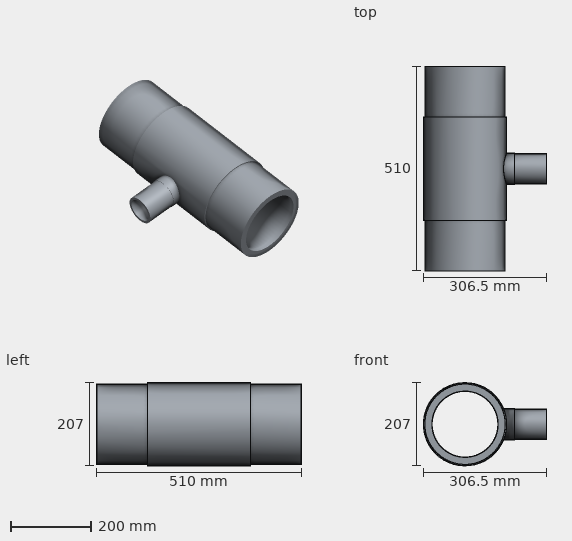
import cadquery as cq

pipe_length = 510
pipe_diameter = 200.0
pipe_bore = 163.5

sleeve_length = 257.0
sleeve_diameter = 207.0

branch_reach = 203.0
branch_diameter = 75.0
branch_bore = 61
collar_reach = 123.0
collar_diameter = 77.5


def cylinder_along_y(diameter, length):
    """Cylinder on the Y axis, centred on the origin."""
    return cq.Workplane("XZ").circle(diameter / 2).extrude(length / 2, both=True)


def cylinder_along_x(diameter, reach):
    """Cylinder on the X axis, from the main pipe's axis out to the given X."""
    return cq.Workplane("YZ").circle(diameter / 2).extrude(reach)


pipe = cylinder_along_y(pipe_diameter, pipe_length)
sleeve = cylinder_along_y(sleeve_diameter, sleeve_length)
branch = cylinder_along_x(branch_diameter, branch_reach)
collar = cylinder_along_x(collar_diameter, collar_reach)
body = pipe.union(sleeve).union(collar).union(branch)

main_passage = cylinder_along_y(pipe_bore, pipe_length)
branch_passage = cylinder_along_x(branch_bore, branch_reach)
result = body.cut(main_passage).cut(branch_passage)